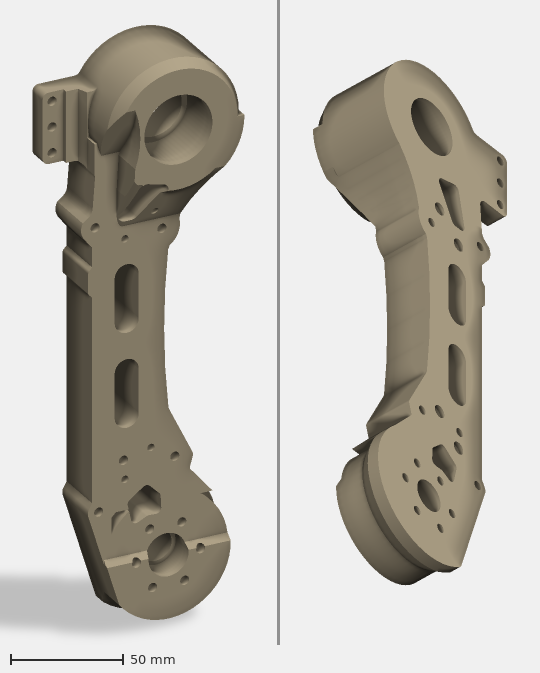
import cadquery as cq
import math


plate_thickness = 25.0
lower_radius = 35.0
upper_radius = 33.0
upper_y = -2.0
upper_z = 217.61
upper_length = 41.27

lower_right_angle = 230.8
lower_left_angle = 49.0
upper_left_angle = -38.3
lower_corner_radius = 3.0

upper_bore = 28.5
upper_rear_bore = 34.0
upper_front_depth = 16.5
lower_bore = 16.0
lower_rear_bore = 20.0
lower_front_depth = 15.0

rim_chamfer_length = 5.6
rim_chamfer_depth = 3.4

tab_end_y = -53.76
tab_wall_y = -35.0
tab_rise = 15.6
tab_top_z = upper_z + tab_rise
tab_height = 35.4
tab_bottom_z = tab_top_z - tab_height
tab_thickness = 10.0
tab_corner_radius = 3.0
tab_root_radius = 3.7
tab_top_root_radius = 3.0
tab_step_y = -43.4
tab_step_x = 12.5
tab_root_x = 17.5
tab_root_y = -35.5
tab_root_slope_depth = 2.0
tab_ledge_y = tab_root_y - tab_root_slope_depth

wall_y = -36.7
ledge_y = -38.7
ledge_top_z = 148.0
ledge_bottom_z = 137.0
ledge_slope_height = 2.0
ledge_top_radius = 2.0
ledge_bottom_radius = 1.0
bump_root = (wall_y, 176.5)
bump_root_radius = 5.5
bump_top = (-41.4, 172.8)
bump_peak = (-42.3, 169.3)
bump_bottom = (-41.2, 165.4)
bump_foot_z = 159.5
low_bump_root_z = 33.1
low_bump_top = (-38.1, 30.7)
low_bump_peak = (-38.9, 28.3)
low_bump_bottom = (-38.5, 26.2)
notch = (11.9, 39.6)
notch_radius = 1.0
knee = (13.8, 46.5)
knee_radius = 3.0
waist_low = (1.4, 71.8)
waist_low_radius = 5.0
waist_middle = (-0.8, 112.0)
waist_high = (1.2, 150.5)
boss_bottom = (2.0, 152.4)
boss_middle = (6.3, 157.8)
boss_top = (6.8, 164.5)
flare_middle = (12.8, 182.2)

bolt_hole = 4.5
hub_bolt_circle_radius = 16.0
hub_bolt_count = 6
tab_hole_y = -49.1
tab_hole_pitch = 12.75
tab_hole_middle_z = 215.8
frame_holes = [(-35.3, 169.3), (-1.9, 161.6), (-21.1, 50.9), (4.5, 47.2), (-33.5, 28.0)]
screw_holes = [(-7.4, 173.1), (-20.4, 160.5), (-7.4, 54.2), (-20.4, 41.3)]
screw_hole = 3.6
screw_head = 6.5
screw_head_depth = 3.0
screw_seat_chamfer = 0.7

slot_y = -19.5
slot_centres_z = [83.65, 130.7]
slot_length = 34.0
slot_width = 12.0
upper_window = [(-5.6, 191.2), (-20.0, 194.7), (-25.1, 170.2), (-16.7, 170.2)]
upper_window_radius = 2.8
lower_window = [(-2.1, 20.6), (-2.6, 30.0), (-9.5, 36.8), (-19.3, 29.6), (-16.6, 17.2), (-9.0, 20.9)]
lower_window_radius = 2.5

gusset_low_z = 167.0
gusset_high_z = 194.5
gusset_side_y = -24.5
hub_wall_joint_z = 210.7
gusset_wall_top_z = 202.8
gusset_wall_low_z = 185.9
gusset_edge_radius = 3.0
recess_low_z = 204.3
recess_high_z = 232.0
recess_wall_y = -23.5
recess_deepest = (-21.0, 216.0)

relief_radius = 31.0
relief_start_x = 6.0
relief_end_x = 12.5
relief_side_y = -27.0
relief_top_z = 26.0
pad_height = 2.8
pad_top_z = 3.6

clearance = 100.0
ring_margin = 1.0


def polar(radius, degrees, y=0.0, z=0.0):
    """Point at the given angle on a circle in the YZ plane."""
    angle = math.radians(degrees)
    return (y + radius * math.cos(angle), z + radius * math.sin(angle))


def disc(radius, y, z, start_x, end_x):
    """Cylinder along X."""
    return cq.Workplane("YZ", origin=(start_x, y, z)).circle(radius).extrude(end_x - start_x)


def drill(diameter, points):
    """Holes through the whole part along X."""
    return cq.Workplane("YZ").pushPoints(points).circle(diameter / 2).extrude(upper_length)


def round_corner(body, y, z, radius):
    """Round the edge along X that is nearest to a corner of the outline."""
    corner = cq.selectors.NearestToPointSelector((plate_thickness / 2, y, z))
    return body.edges("|X").edges(corner).fillet(radius)


def side_wedge(profile):
    """Prism with an XZ profile, reaching across the part in Y."""
    return cq.Workplane("XZ").polyline(profile).close().extrude(clearance, both=True)


def make_plate():
    lower_right = polar(lower_radius, lower_right_angle)
    lower_left = polar(lower_radius, lower_left_angle)
    upper_left = polar(upper_radius, upper_left_angle, upper_y, upper_z)
    hub_tab_y = upper_y - math.sqrt(upper_radius**2 - tab_rise**2)
    tab_root = (tab_wall_y, tab_bottom_z)
    plate = (
        cq.Workplane("YZ")
        .moveTo(*lower_right)
        .threePointArc((lower_radius, 0), lower_left)
        .lineTo(*notch)
        .lineTo(*knee)
        .lineTo(*waist_low)
        .threePointArc(waist_middle, waist_high)
        .lineTo(*boss_bottom)
        .threePointArc(boss_middle, boss_top)
        .threePointArc(flare_middle, upper_left)
        .threePointArc((upper_y, upper_z + upper_radius), (hub_tab_y, tab_top_z))
        .lineTo(tab_end_y, tab_top_z)
        .lineTo(tab_end_y, tab_bottom_z)
        .lineTo(*tab_root)
        .lineTo(*bump_root)
        .lineTo(*bump_top)
        .threePointArc(bump_peak, bump_bottom)
        .lineTo(wall_y, bump_foot_z)
        .lineTo(wall_y, ledge_top_z + ledge_slope_height)
        .lineTo(ledge_y, ledge_top_z)
        .lineTo(ledge_y, ledge_bottom_z)
        .lineTo(wall_y, ledge_bottom_z - ledge_slope_height)
        .lineTo(wall_y, low_bump_root_z)
        .lineTo(*low_bump_top)
        .threePointArc(low_bump_peak, low_bump_bottom)
        .close()
        .extrude(plate_thickness)
    )
    rounded = [
        (lower_right, lower_corner_radius),
        (notch, notch_radius),
        (knee, knee_radius),
        (waist_low, waist_low_radius),
        ((hub_tab_y, tab_top_z), tab_top_root_radius),
        ((tab_end_y, tab_top_z), tab_corner_radius),
        ((tab_end_y, tab_bottom_z), tab_corner_radius),
        (tab_root, tab_root_radius),
        (bump_root, bump_root_radius),
        ((ledge_y, ledge_top_z), ledge_top_radius),
        ((ledge_y, ledge_bottom_z), ledge_bottom_radius),
    ]
    for (y, z), radius in rounded:
        plate = round_corner(plate, y, z, radius)
    return plate


def make_tab_clearance():
    """Space behind the tab, leaving a stepped and sloped root."""
    profile = [
        (tab_thickness, -clearance),
        (tab_thickness, tab_step_y),
        (tab_step_x, tab_step_y),
        (tab_step_x, tab_ledge_y),
        (tab_root_x, tab_root_y),
        (plate_thickness, tab_root_y),
        (plate_thickness, -clearance),
    ]
    low_z = tab_bottom_z - tab_root_radius
    high_z = tab_top_z + tab_top_root_radius
    prism = cq.Workplane("XY", origin=(0, 0, low_z)).polyline(profile).close().extrude(high_z - low_z)
    upper_space = cq.Workplane("XY").box(
        plate_thickness - tab_root_x, clearance, high_z - hub_wall_joint_z, centered=False
    ).translate((tab_root_x, upper_y - clearance - upper_radius / 2, hub_wall_joint_z))
    return prism.union(upper_space).cut(disc(upper_radius, upper_y, upper_z, 0, upper_length))


def make_upper_hub():
    hub = disc(upper_radius, upper_y, upper_z, 0, upper_length)
    return hub.faces(">X").chamfer(rim_chamfer_length, rim_chamfer_depth)


def make_gusset(plate):
    """Sloped web that carries the plate outline up to the end of the upper hub."""
    side = [
        (plate_thickness, gusset_low_z),
        (upper_length, gusset_high_z),
        (upper_length, upper_z),
        (plate_thickness, upper_z),
    ]
    outline = plate.faces("<X").wires().toPending().workplane().extrude(-upper_length, combine=False)
    inner = cq.Workplane("XY").box(
        upper_length, clearance, upper_z, centered=False
    ).translate((0, gusset_side_y, 0))
    gusset = outline.intersect(side_wedge(side)).intersect(inner)
    middle_of_ramp = (
        (plate_thickness + upper_length) / 2,
        gusset_side_y,
        (gusset_low_z + gusset_high_z) / 2,
    )
    return gusset.edges(cq.selectors.NearestToPointSelector(middle_of_ramp)).fillet(gusset_edge_radius)


def make_hub_recess():
    """Hollow in the side of the upper hub, bounded above by a sloping plane."""
    side = [
        (plate_thickness, recess_low_z),
        (upper_length, recess_high_z),
        (upper_length, 0),
        (plate_thickness, 0),
    ]
    hollow = (
        cq.Workplane("YZ")
        .moveTo(-clearance, recess_high_z)
        .lineTo(recess_wall_y, recess_high_z)
        .threePointArc(recess_deepest, (recess_wall_y, gusset_wall_top_z))
        .lineTo(gusset_side_y, gusset_wall_low_z)
        .lineTo(-clearance, gusset_wall_low_z)
        .close()
        .extrude(upper_length)
    )
    return hollow.intersect(side_wedge(side))


def make_pad(plate):
    """Raised pad on the lower hub with a sloped upper edge."""
    top_x = plate_thickness + pad_height
    side = [
        (plate_thickness, pad_top_z),
        (top_x, pad_top_z - pad_height),
        (top_x, -lower_radius),
        (plate_thickness, -lower_radius),
    ]
    pad = disc(relief_radius, 0, 0, plate_thickness, top_x).intersect(side_wedge(side))
    return pad.intersect(plate.translate((pad_height, 0, 0)))


def make_rim_relief():
    """Ring taken off the lower hub behind its full-size flange."""
    outer = lower_radius + ring_margin
    end_x = plate_thickness
    ring = (
        cq.Workplane("XY")
        .moveTo(relief_start_x, lower_radius)
        .lineTo(relief_end_x, relief_radius)
        .lineTo(end_x, relief_radius)
        .lineTo(end_x, outer)
        .lineTo(relief_start_x, outer)
        .close()
        .revolve(360, (0, 0, 0), (1, 0, 0))
    )
    zone = cq.Workplane("XY").box(
        end_x, outer - relief_side_y, outer + relief_top_z, centered=False
    ).translate((0, relief_side_y, -outer))
    return ring.intersect(zone)


def make_window(corners, radius):
    window = cq.Workplane("YZ").polyline(corners).close().extrude(upper_length)
    return window.edges("|X").fillet(radius)


def make_slots():
    centres = [(slot_y, z) for z in slot_centres_z]
    return cq.Workplane("YZ").pushPoints(centres).slot2D(slot_length, slot_width, 90).extrude(plate_thickness)


def make_stepped_bore(y, z, front, rear, front_depth):
    bore = disc(front / 2, y, z, 0, upper_length)
    return bore.union(disc(rear / 2, y, z, front_depth, upper_length))


def make_screw_holes():
    heads = (
        cq.Workplane("YZ")
        .pushPoints(screw_holes)
        .circle(screw_head / 2)
        .extrude(screw_head_depth)
        .faces(">X")
        .chamfer(screw_seat_chamfer)
    )
    return drill(screw_hole, screw_holes).union(heads)


def make_bolt_holes():
    step = 360 / hub_bolt_count
    points = [polar(hub_bolt_circle_radius, i * step) for i in range(hub_bolt_count)]
    points += [(tab_hole_y, tab_hole_middle_z + i * tab_hole_pitch) for i in (-1, 0, 1)]
    return drill(bolt_hole, points + frame_holes)


plate = make_plate()
body = plate.cut(make_tab_clearance()).cut(make_rim_relief())
body = body.union(make_upper_hub()).union(make_gusset(plate)).union(make_pad(plate))
body = body.cut(make_hub_recess())
body = body.cut(make_window(upper_window, upper_window_radius))
body = body.cut(make_window(lower_window, lower_window_radius))
body = body.cut(make_slots())
body = body.cut(make_stepped_bore(upper_y, upper_z, upper_bore, upper_rear_bore, upper_front_depth))
body = body.cut(make_stepped_bore(0, 0, lower_bore, lower_rear_bore, lower_front_depth))
result = body.cut(make_screw_holes()).cut(make_bolt_holes())